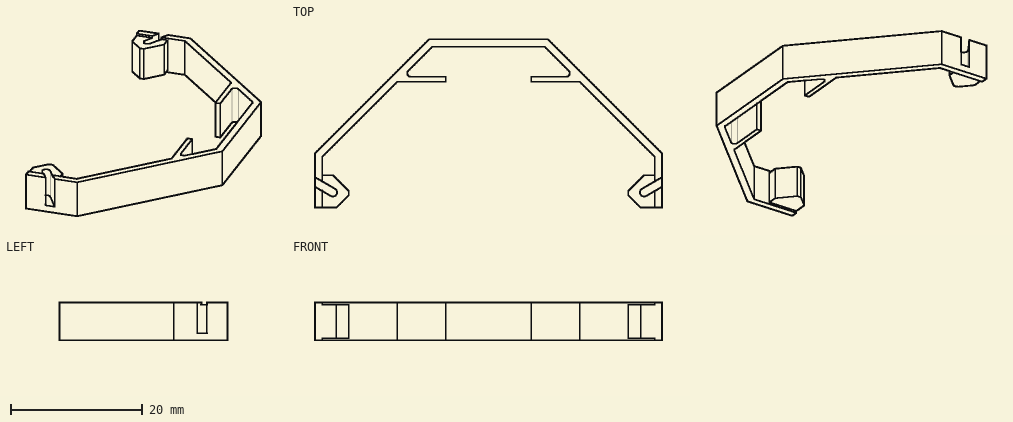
import cadquery as cq
import math

span = 53.0
depth = 25.7
height = 5.8
wall = 1.15
side_length = 8.25

tab_end_x = 6.5
tab_bottom_y = 19.2
tab_thickness = 0.8
tab_fillet = 0.55

foot_inset = 0.3
foot_reach = 5.2
foot_top_y = 5.0
foot_tip_low_y = 1.9
foot_tip_high_y = 2.55

slot_width = 1.25
slot_angle = 30.0
slot_floor_z = 1.05
slot_end_inset = 2.75
slot_end_y = 2.35

half_span = span / 2
bend_shift = wall * math.tan(math.radians(45 / 2))
top_half_length = half_span - (depth - side_length)
inner_side_x = half_span - wall
inner_bend_y = side_length - bend_shift


def mirrored(half):
    """Return the -X half joined with its mirror image."""
    return half.union(half.mirror("YZ"))


def band_half():
    slope_offset = inner_bend_y + inner_side_x
    tab_top_y = tab_bottom_y + tab_thickness
    tab_corner_x = tab_top_y - slope_offset
    outline = [
        (0, depth),
        (-top_half_length, depth),
        (-half_span, side_length),
        (-half_span, 0),
        (-inner_side_x, 0),
        (-inner_side_x, inner_bend_y),
        (tab_bottom_y - slope_offset, tab_bottom_y),
        (-tab_end_x, tab_bottom_y),
        (-tab_end_x, tab_top_y),
        (tab_corner_x, tab_top_y),
        (bend_shift - top_half_length, depth - wall),
        (0, depth - wall),
    ]
    band = cq.Workplane("XY").polyline(outline).close().extrude(height)
    corner = cq.selectors.NearestToPointSelector((tab_corner_x, tab_top_y, height / 2))
    return band.edges("|Z").edges(corner).fillet(tab_fillet)


def foot():
    tip_x = foot_reach - half_span
    outline = [
        (-half_span, 0),
        (tip_x - foot_tip_low_y, 0),
        (tip_x, foot_tip_low_y),
        (tip_x, foot_tip_high_y),
        (tip_x - (foot_top_y - foot_tip_high_y), foot_top_y),
        (-half_span, foot_top_y),
    ]
    base = cq.Workplane("XY").workplane(offset=foot_inset)
    return base.polyline(outline).close().extrude(height - 2 * foot_inset)


def slot_cutter():
    length = 4 * slot_end_inset
    cutter = (
        cq.Workplane("XY")
        .center(-length / 2, 0)
        .slot2D(length + slot_width, slot_width)
        .extrude(height - slot_floor_z)
    )
    turned = cutter.rotate((0, 0, 0), (0, 0, 1), -slot_angle)
    return turned.translate((slot_end_inset - half_span, slot_end_y, slot_floor_z))


result = mirrored(band_half().union(foot()).cut(slot_cutter()))